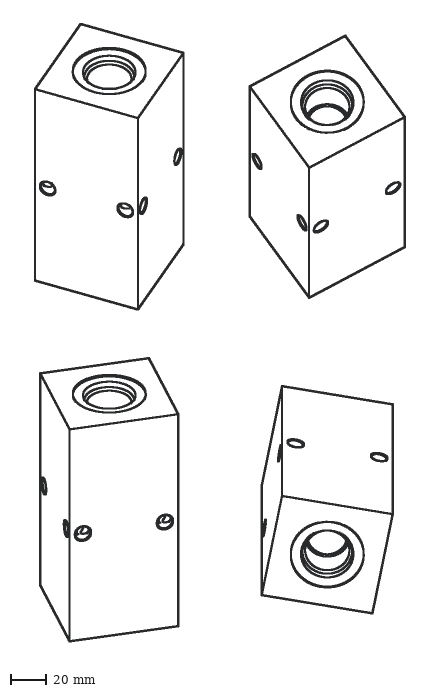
import cadquery as cq
import math

height = 139.7
width = 63.5

spotface_diameter = 41.2
spotface_depth = 1.0
seat_diameter = 29.6
seat_depth = 3.1
seat_angle = 15.0
thread_diameter = 25.0
thread_depth = 22.0
bore_diameter = 22.2

cross_hole_diameter = 8.7
cross_hole_mouth_diameter = 9.6
cross_hole_spacing = 47.9


def make_port_cutter():
    """Port void on the Z axis, opening on the top face."""
    spotface_radius = spotface_diameter / 2
    seat_radius = seat_diameter / 2
    seat_end_radius = seat_radius - seat_depth * math.tan(math.radians(seat_angle))
    thread_radius = thread_diameter / 2
    lead_in_depth = seat_end_radius - thread_radius
    spotface_z = height / 2 - spotface_depth
    seat_end_z = spotface_z - seat_depth
    profile = [
        (0, height / 2),
        (spotface_radius, height / 2),
        (spotface_radius, spotface_z),
        (seat_radius, spotface_z),
        (seat_end_radius, seat_end_z),
        (thread_radius, seat_end_z - lead_in_depth),
        (thread_radius, spotface_z - thread_depth),
        (0, spotface_z - thread_depth),
    ]
    return cq.Workplane("XZ").polyline(profile).close().revolve(360, (0, 0), (0, 1))


def make_cross_hole_cutter():
    """Hole along Y through the block, countersunk at 90 degrees on both faces."""
    hole_radius = cross_hole_diameter / 2
    mouth_radius = cross_hole_mouth_diameter / 2
    countersink_depth = mouth_radius - hole_radius
    face = width / 2
    profile = [
        (0, -face),
        (mouth_radius, -face),
        (hole_radius, -face + countersink_depth),
        (hole_radius, face - countersink_depth),
        (mouth_radius, face),
        (0, face),
    ]
    return cq.Workplane("XY").polyline(profile).close().revolve(360, (0, 0), (0, 1))


result = cq.Workplane("XY").box(width, width, height)

port = make_port_cutter()
result = result.cut(cq.Workplane("XY").circle(bore_diameter / 2).extrude(height / 2, both=True))
result = result.cut(port)
result = result.cut(port.mirror("XY"))

cross_hole = make_cross_hole_cutter()
for side in (-1, 1):
    along_y = cross_hole.translate((side * cross_hole_spacing / 2, 0, 0))
    along_x = along_y.rotate((0, 0, 0), (0, 0, 1), 90)
    result = result.cut(along_y).cut(along_x)